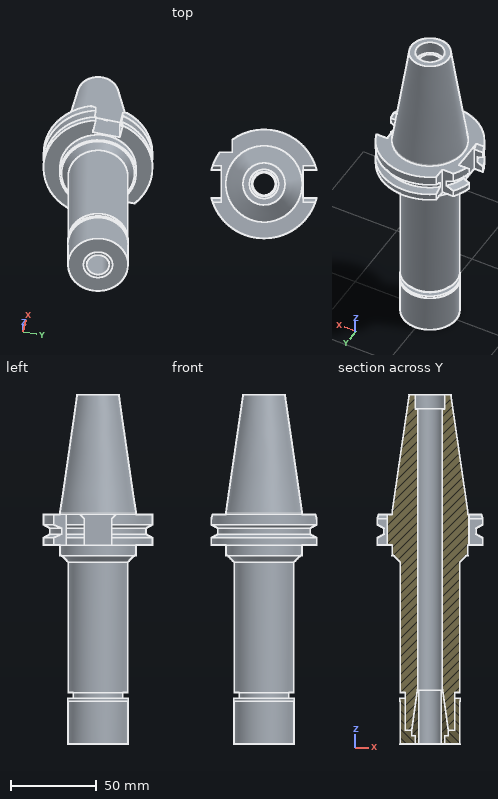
import cadquery as cq
import math


GAUGE_RADIUS = 44.45 / 2
TAPER_LENGTH = 68.4
TAPER_RADIUS_RATE = 7 / 48
TAPER_END_RADIUS = GAUGE_RADIUS - TAPER_LENGTH * TAPER_RADIUS_RATE

FLANGE_RADIUS = 63.55 / 2
FLANGE_TOP_Z = -1.2
FLANGE_BOTTOM_Z = -19.1
GROOVE_CENTRE_Z = -11.05
GROOVE_ROOT_RADIUS = 56.25 / 2
GROOVE_ROOT_HALF_WIDTH = 1.7
GROOVE_WALL_ANGLE = 30
GROOVE_MOUTH_HALF_WIDTH = (
    GROOVE_ROOT_HALF_WIDTH
    + (FLANGE_RADIUS - GROOVE_ROOT_RADIUS) * math.tan(math.radians(GROOVE_WALL_ANGLE))
)

SLOT_WIDTH = 16.1
SLOT_CHAMFER = 2.5
LEFT_SLOT_FLOOR = 25.0
RIGHT_SLOT_FLOOR = 22.8
NOTCH_OFFSET = 18.5

COLLAR_RADIUS = GAUGE_RADIUS
COLLAR_LENGTH = 6.2
COLLAR_BOTTOM_Z = FLANGE_BOTTOM_Z - COLLAR_LENGTH
SHANK_RADIUS = 17.4
CONE_TOP_RADIUS = 21.2
CONE_BOTTOM_Z = COLLAR_BOTTOM_Z - (CONE_TOP_RADIUS - SHANK_RADIUS)
SHANK_BOTTOM_Z = -105.0
NOSE_RADIUS = 14.5
NOSE_BOTTOM_Z = -127.0

BORE_RADIUS = 7.0
COUNTERBORE_RADIUS = 8.5
COUNTERBORE_DEPTH = 8.2

TOTAL_LENGTH = 203.4
NUT_BOTTOM_Z = TAPER_LENGTH - TOTAL_LENGTH
NUT_RADIUS = 17.5
NUT_RIM_RADIUS = 17.7
NUT_TOP_Z = -108.2
NUT_RIM_LENGTH = 1.7
NUT_LIP_TOP_Z = NUT_BOTTOM_Z + 5.0

COLLET_BORE_RADIUS = 6.5
COLLET_RADIUS = 10.5
COLLET_NOSE_RADIUS = 8.5
COLLET_TAPER_ANGLE = 8
COLLET_TOP_Z = NUT_BOTTOM_Z + 31.5
COLLET_TOP_RADIUS = (
    COLLET_RADIUS - (COLLET_TOP_Z - NOSE_BOTTOM_Z) * math.tan(math.radians(COLLET_TAPER_ANGLE))
)


def revolved(profile):
    """Solid of revolution about Z from (radius, z) points."""
    return cq.Workplane("XZ").polyline(profile).close().revolve(360, (0, 0, 0), (0, 1, 0))


def cylinder(radius, bottom_z, top_z):
    return cq.Workplane("XY").workplane(offset=bottom_z).circle(radius).extrude(top_z - bottom_z)


def make_drive_slot(direction, floor):
    """Slot cutter on the +X (direction 1) or -X (direction -1) side, flared at the top."""
    half = SLOT_WIDTH / 2
    flared = half + SLOT_CHAMFER
    profile = [
        (-half, FLANGE_BOTTOM_Z),
        (half, FLANGE_BOTTOM_Z),
        (half, FLANGE_TOP_Z - SLOT_CHAMFER),
        (flared, FLANGE_TOP_Z),
        (-flared, FLANGE_TOP_Z),
        (-half, FLANGE_TOP_Z - SLOT_CHAMFER),
    ]
    slot = cq.Workplane("YZ").workplane(offset=direction * floor).polyline(profile).close()
    return slot.extrude(direction * FLANGE_RADIUS)


def make_notch():
    """Square-cornered cutter that removes the (-X, +Y) edge of the flange."""
    height = FLANGE_TOP_Z - FLANGE_BOTTOM_Z
    notch = cq.Workplane("XY").box(FLANGE_RADIUS, FLANGE_RADIUS, height, centered=False)
    return notch.translate((-NOTCH_OFFSET - FLANGE_RADIUS, NOTCH_OFFSET, FLANGE_BOTTOM_Z))


def make_holder():
    body = revolved([
        (0, TAPER_LENGTH),
        (TAPER_END_RADIUS, TAPER_LENGTH),
        (GAUGE_RADIUS, 0),
        (GAUGE_RADIUS, FLANGE_TOP_Z),
        (FLANGE_RADIUS, FLANGE_TOP_Z),
        (FLANGE_RADIUS, GROOVE_CENTRE_Z + GROOVE_MOUTH_HALF_WIDTH),
        (GROOVE_ROOT_RADIUS, GROOVE_CENTRE_Z + GROOVE_ROOT_HALF_WIDTH),
        (GROOVE_ROOT_RADIUS, GROOVE_CENTRE_Z - GROOVE_ROOT_HALF_WIDTH),
        (FLANGE_RADIUS, GROOVE_CENTRE_Z - GROOVE_MOUTH_HALF_WIDTH),
        (FLANGE_RADIUS, FLANGE_BOTTOM_Z),
        (COLLAR_RADIUS, FLANGE_BOTTOM_Z),
        (COLLAR_RADIUS, COLLAR_BOTTOM_Z),
        (CONE_TOP_RADIUS, COLLAR_BOTTOM_Z),
        (SHANK_RADIUS, CONE_BOTTOM_Z),
        (SHANK_RADIUS, SHANK_BOTTOM_Z),
        (NOSE_RADIUS, SHANK_BOTTOM_Z),
        (NOSE_RADIUS, NOSE_BOTTOM_Z),
        (0, NOSE_BOTTOM_Z),
    ])
    body = body.cut(make_drive_slot(-1, LEFT_SLOT_FLOOR))
    body = body.cut(make_drive_slot(1, RIGHT_SLOT_FLOOR))
    body = body.cut(make_notch())

    body = body.cut(cylinder(COUNTERBORE_RADIUS, TAPER_LENGTH - COUNTERBORE_DEPTH, TAPER_LENGTH))
    body = body.cut(cylinder(BORE_RADIUS, COLLET_TOP_Z, TAPER_LENGTH))
    collet_seat = revolved([
        (0, COLLET_TOP_Z),
        (COLLET_TOP_RADIUS, COLLET_TOP_Z),
        (COLLET_RADIUS, NOSE_BOTTOM_Z),
        (0, NOSE_BOTTOM_Z),
    ])
    return body.cut(collet_seat)


def make_nut():
    """Cap nut around the holder nose, with a lip that retains the collet."""
    rim_bottom_z = NUT_TOP_Z - NUT_RIM_LENGTH
    return revolved([
        (NOSE_RADIUS, NUT_TOP_Z),
        (NUT_RIM_RADIUS, NUT_TOP_Z),
        (NUT_RIM_RADIUS, rim_bottom_z),
        (NUT_RADIUS, rim_bottom_z),
        (NUT_RADIUS, NUT_BOTTOM_Z),
        (COLLET_NOSE_RADIUS, NUT_BOTTOM_Z),
        (COLLET_NOSE_RADIUS, NUT_LIP_TOP_Z),
        (COLLET_RADIUS, NUT_LIP_TOP_Z),
        (COLLET_RADIUS, NOSE_BOTTOM_Z),
        (NOSE_RADIUS, NOSE_BOTTOM_Z),
    ])


def make_collet():
    """Tapered sleeve seated in the holder nose, flush with the nut face."""
    return revolved([
        (COLLET_BORE_RADIUS, COLLET_TOP_Z),
        (COLLET_TOP_RADIUS, COLLET_TOP_Z),
        (COLLET_RADIUS, NOSE_BOTTOM_Z),
        (COLLET_RADIUS, NUT_LIP_TOP_Z),
        (COLLET_NOSE_RADIUS, NUT_LIP_TOP_Z),
        (COLLET_NOSE_RADIUS, NUT_BOTTOM_Z),
        (COLLET_BORE_RADIUS, NUT_BOTTOM_Z),
    ])


holder = make_holder()
nut = make_nut()
collet = make_collet()

result = cq.Compound.makeCompound([holder.val(), nut.val(), collet.val()])